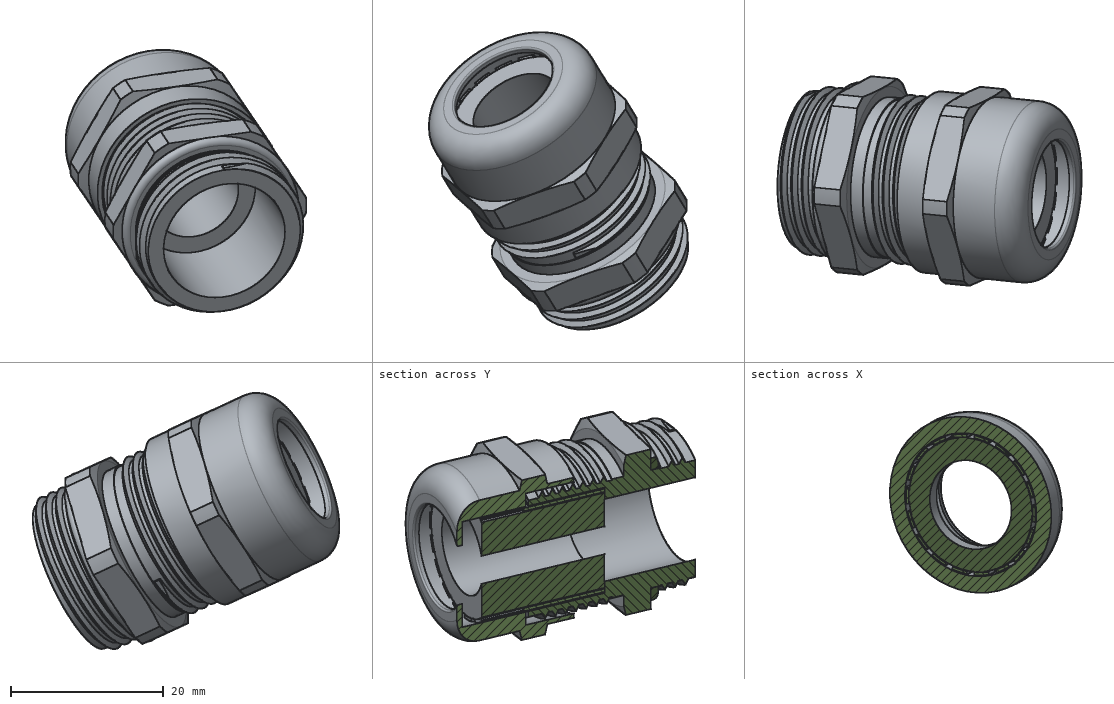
import cadquery as cq
import math


total_length = 34.95

cap_diameter = 23.9
cap_end = 17.2
dome_flat_diameter = 17.25
cap_mouth_diameter = 14.23
mouth_rounding = 0.25
cap_lip_thickness = 0.85
cap_cavity_diameter = 19.35
cap_bore_diameter = 22.62
cap_bore_start = 10.15

hex_across_flats = 24.0
cap_hex_corner_diameter = 26.65
body_hex_corner_diameter = 26.5
hex_chamfer_length = 0.35
cap_hex_start = 9.2
cap_hex_end = 13.32
body_hex_start = 24.45
body_hex_end = 28.5

body_start = 10.5
neck_end = 22.72
thread_root_diameter = 20.85
collar_diameter = 21.1
gasket_seat_diameter = 21.05
gasket_seat_end = 29.93
pocket_diameter = 19.35
pocket_end = 21.68
outlet_diameter = 16.65

thread_pitch = 1.5
thread_height = 0.7
thread_base_width = 0.98
thread_sink = 0.07
thread_end_height = 0.2
thread_end_flat_length = 4.2
thread_end_flat_width = 1.35
neck_thread_turns = 7
neck_thread_end = 22.13
outlet_thread_turns = 2.75
outlet_thread_start = 30.28

gasket_diameter = 24.15
gasket_end = 29.55
gasket_rounding = 0.8

cage_diameter = 19.2
cage_bore_diameter = 18.3
claw_start = 3.65
claw_slot_end = 9.8
claw_count = 18
claw_slot_width = 1.05
seal_diameter = 18.2
seal_bore_diameter = 12.0


def cylinder(diameter, start, end):
    """Round bar along X from start to end."""
    return cq.Workplane("YZ", origin=(start, 0, 0)).circle(diameter / 2).extrude(end - start)


def tube(outer_diameter, inner_diameter, start, end):
    """Plain round tube along X."""
    return cylinder(outer_diameter, start, end).cut(cylinder(inner_diameter, start, end))


def hexagon(start, end, turned_diameter, chamfer_both_ends):
    """Hexagon with flats facing +Z and -Z, its corners turned down and coned at the ends."""
    corner_diameter = hex_across_flats / math.cos(math.pi / 6)
    prism = cq.Workplane("YZ", origin=(start, 0, 0)).polygon(6, corner_diameter).extrude(end - start)
    corner_radius = turned_diameter / 2
    cone_radius = cap_diameter / 2
    envelope = cq.Workplane("XY").moveTo(start, 0).lineTo(start, cone_radius)
    envelope = envelope.lineTo(start + hex_chamfer_length, corner_radius)
    if chamfer_both_ends:
        envelope = envelope.lineTo(end - hex_chamfer_length, corner_radius).lineTo(end, cone_radius)
    else:
        envelope = envelope.lineTo(end, corner_radius)
    envelope = envelope.lineTo(end, 0).close().revolve(360, (0, 0, 0), (1, 0, 0))
    return prism.intersect(envelope)


def thread(start, turns, roll):
    """Right-handed V thread along X; both ends are cut flat, tangent to the root.

    With roll = 0 it begins at the bottom (-Z); roll turns it about X, in degrees.
    """
    root_radius = thread_root_diameter / 2
    base_radius = root_radius - thread_sink
    half_width = thread_base_width / 2 * (thread_height + thread_sink) / thread_height
    helix = cq.Wire.makeHelix(thread_pitch, turns * thread_pitch, base_radius)
    ridge = (
        cq.Workplane("XZ")
        .moveTo(base_radius, -half_width)
        .lineTo(root_radius + thread_height, 0)
        .lineTo(base_radius, half_width)
        .close()
        .sweep(cq.Workplane(helix), isFrenet=True)
    )
    flat_cutter = cq.Workplane("XY").box(
        2 * thread_height, thread_end_flat_length, thread_end_flat_width, centered=(False, False, True)
    ).translate((root_radius + thread_end_height, 0, 0))
    end_cutter = flat_cutter.mirror("XZ").rotate((0, 0, 0), (0, 0, 1), 360 * turns)
    end_cutter = end_cutter.translate((0, 0, turns * thread_pitch))
    ridge = ridge.cut(flat_cutter).cut(end_cutter)
    along_x = ridge.rotate((0, 0, 0), (0, 1, 0), 90).rotate((0, 0, 0), (1, 0, 0), roll)
    return along_x.translate((start, 0, 0))


def make_cap_nut():
    """Domed cap nut with a stepped bore and a hexagon around it."""
    dome_radius = (cap_diameter - dome_flat_diameter) / 2
    cap = cylinder(cap_diameter, 0, cap_end).faces("<X").edges().fillet(dome_radius)
    cap = cap.union(hexagon(cap_hex_start, cap_hex_end, cap_hex_corner_diameter, chamfer_both_ends=True))
    cap = cap.cut(cylinder(cap_mouth_diameter, 0, cap_end))
    cap = cap.faces("<X").edges(cq.selectors.RadiusNthSelector(0)).fillet(mouth_rounding)
    cap = cap.cut(cylinder(cap_cavity_diameter, cap_lip_thickness, cap_end))
    return cap.cut(cylinder(cap_bore_diameter, cap_bore_start, cap_end))


def make_body():
    """Threaded body with a hexagon, a collar, a gasket seat and a stepped bore."""
    body = cylinder(thread_root_diameter, body_start, total_length)
    body = body.union(cylinder(collar_diameter, neck_end, body_hex_start))
    flange = hexagon(body_hex_start, body_hex_end, body_hex_corner_diameter, chamfer_both_ends=False)
    body = body.union(flange)
    body = body.union(cylinder(gasket_seat_diameter, body_hex_end, gasket_seat_end))
    neck_thread_start = neck_thread_end - neck_thread_turns * thread_pitch
    body = body.union(thread(neck_thread_start, neck_thread_turns, roll=0))
    body = body.union(thread(outlet_thread_start, outlet_thread_turns, roll=-90))
    body = body.cut(cylinder(pocket_diameter, body_start, pocket_end))
    return body.cut(cylinder(outlet_diameter, pocket_end, total_length))


def make_gasket():
    """Sealing ring behind the body hexagon; its outside is one arc, its rear face flat."""
    center_x = gasket_end - gasket_rounding
    center_y = gasket_diameter / 2 - gasket_rounding
    front_rise = math.sqrt(gasket_rounding**2 - (center_x - body_hex_end) ** 2)
    diagonal = gasket_rounding * math.sqrt(0.5)
    seat_radius = gasket_seat_diameter / 2
    return (
        cq.Workplane("XY")
        .moveTo(body_hex_end, seat_radius)
        .lineTo(body_hex_end, center_y + front_rise)
        .threePointArc((center_x + diagonal, center_y + diagonal), (gasket_end, center_y))
        .lineTo(gasket_end, seat_radius)
        .close()
        .revolve(360, (0, 0, 0), (1, 0, 0))
    )


def make_claw_cage():
    """Thin sleeve seated in the body pocket, slotted at the front into claws."""
    cage = tube(cage_diameter, cage_bore_diameter, claw_start, pocket_end)
    slot = cq.Workplane("XY").box(
        claw_slot_end - claw_start, cage_diameter, claw_slot_width, centered=(False, False, True)
    ).translate((claw_start, 0, 0))
    for index in range(claw_count):
        cage = cage.cut(slot.rotate((0, 0, 0), (1, 0, 0), (index + 0.5) * 360 / claw_count))
    return cage


def make_seal():
    """Sealing sleeve that grips the cable, inside the claw cage and flush with its claws."""
    return tube(seal_diameter, seal_bore_diameter, claw_start, pocket_end)


cap_nut = make_cap_nut()
body = make_body()
gasket = make_gasket()
claw_cage = make_claw_cage()
seal = make_seal()

result = cq.Compound.makeCompound(
    [cap_nut.val(), body.val(), gasket.val(), claw_cage.val(), seal.val()]
)